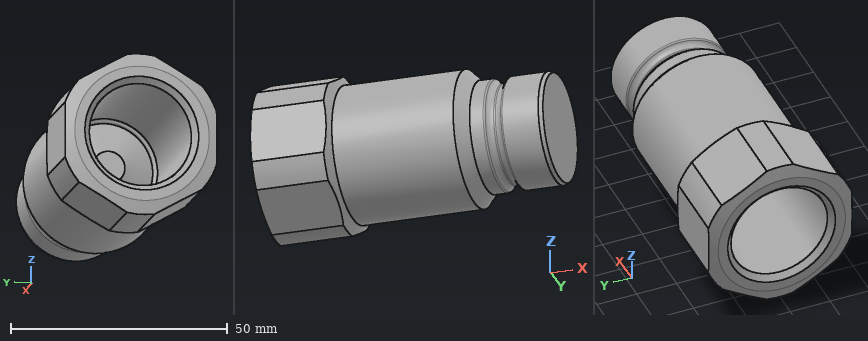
import cadquery as cq
import math

length = 70.0

across_flats = 36.0
across_corners = 38.3
corner_radius = across_corners / 2
face_radius = 15.95
front_chamfer_length = 0.9
rear_chamfer_start = 18.4
head_length = 19.9

body_radius = 16.4
body_end = 49.35
plug_radius = 13.4
tip_chamfer_length = 1.0
tip_chamfer_depth = 0.5

groove_center = 57.9
groove_floor_width = 0.4
groove_half_width = 2.3
groove_depth = 1.3
groove_rim_radius = 0.5

mouth_radius = 13.5
bore_radius = 12.1
mouth_chamfer_length = 1.4
bore_depth = 35.0
lip_radius = 11.1
lip_round = 0.8
poppet_tip_radius = 3.8
poppet_height = 3.15


def revolve_about_x(profile):
    return profile.close().revolve(360, (0, 0, 0), (1, 0, 0))


def make_head():
    """Hexagonal prism trimmed by a turned, chamfered blank."""
    hexagon = (
        cq.Workplane("YZ")
        .polygon(6, across_flats / math.cos(math.pi / 6))
        .extrude(head_length)
        .rotate((0, 0, 0), (1, 0, 0), 30)
    )
    blank = revolve_about_x(
        cq.Workplane("XY")
        .lineTo(0, face_radius)
        .lineTo(front_chamfer_length, corner_radius)
        .lineTo(rear_chamfer_start, corner_radius)
        .lineTo(head_length, body_radius)
        .lineTo(head_length, 0)
    )
    return hexagon.intersect(blank)


def make_body():
    """Turned body with a 45 degree shoulder down to the plug."""
    shoulder_end = body_end + body_radius - plug_radius
    body_start = rear_chamfer_start
    return revolve_about_x(
        cq.Workplane("XY")
        .moveTo(body_start, 0)
        .lineTo(body_start, body_radius)
        .lineTo(body_end, body_radius)
        .lineTo(shoulder_end, plug_radius)
        .lineTo(length - tip_chamfer_length, plug_radius)
        .lineTo(length, plug_radius - tip_chamfer_depth)
        .lineTo(length, 0)
    )


def make_groove():
    """Ring with a flat floor, curved flanks and convex rounded rims."""
    floor = plug_radius - groove_depth
    half_floor = groove_floor_width / 2
    run = groove_half_width - half_floor
    radius_sum = (run**2 + groove_depth**2) / (2 * groove_depth)
    flank_radius = radius_sum - groove_rim_radius
    sweep = math.asin(run / radius_sum)

    def flank_point(angle):
        return (
            half_floor + flank_radius * math.sin(angle),
            floor + flank_radius * (1 - math.cos(angle)),
        )

    def rim_point(angle):
        return (
            groove_half_width - groove_rim_radius * math.sin(angle),
            plug_radius - groove_rim_radius * (1 - math.cos(angle)),
        )

    def right(point):
        return (groove_center + point[0], point[1])

    def left(point):
        return (groove_center - point[0], point[1])

    outer = body_radius
    return revolve_about_x(
        cq.Workplane("XY")
        .moveTo(*left((groove_half_width, outer)))
        .lineTo(*left(rim_point(0)))
        .threePointArc(left(rim_point(sweep / 2)), left(rim_point(sweep)))
        .threePointArc(left(flank_point(sweep / 2)), left(flank_point(0)))
        .lineTo(*right(flank_point(0)))
        .threePointArc(right(flank_point(sweep / 2)), right(flank_point(sweep)))
        .threePointArc(right(rim_point(sweep / 2)), right(rim_point(0)))
        .lineTo(*right((groove_half_width, outer)))
    )


def make_bore():
    """Blind bore ending at a rounded lip, with a conical poppet behind the lip."""
    lip_end = bore_depth + lip_round
    lip_middle = (
        lip_end - lip_round * math.sin(math.pi / 4),
        lip_radius + lip_round * (1 - math.cos(math.pi / 4)),
    )
    return revolve_about_x(
        cq.Workplane("XY")
        .lineTo(0, mouth_radius)
        .lineTo(mouth_chamfer_length, bore_radius)
        .lineTo(bore_depth, bore_radius)
        .lineTo(bore_depth, lip_radius + lip_round)
        .threePointArc(lip_middle, (lip_end, lip_radius))
        .lineTo(lip_end - poppet_height, poppet_tip_radius)
        .lineTo(lip_end - poppet_height, 0)
    )


result = make_head().union(make_body()).cut(make_groove()).cut(make_bore())